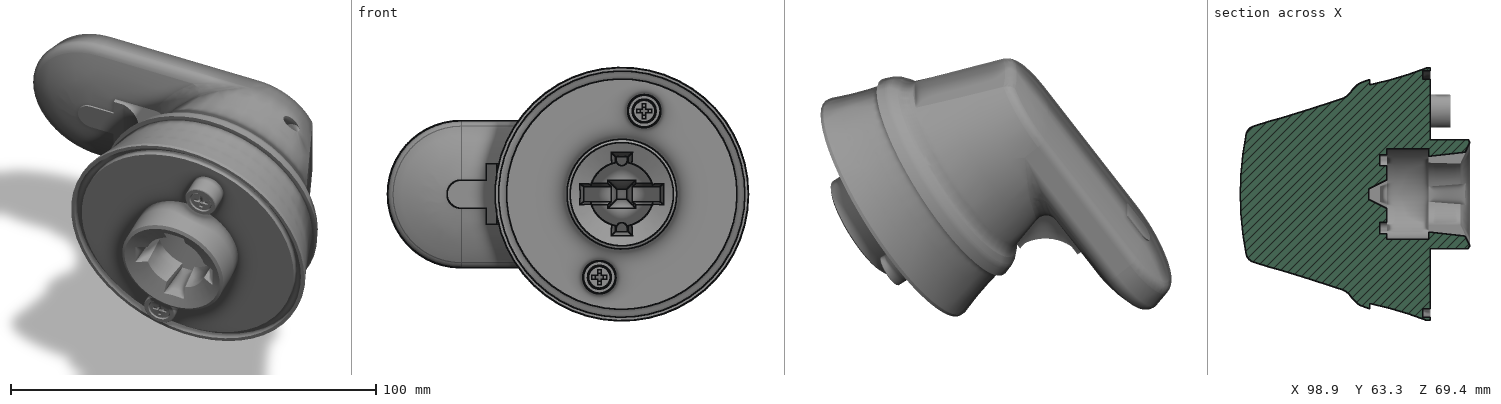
import cadquery as cq


skirt_radius = 34.7
skirt_lip_height = 0.9
skirt_mid_radius = 32.0
skirt_mid_height = 8.7
skirt_top_radius = 30.1
skirt_top_height = 16.5
seal_groove_outer_radius = 33.7
seal_groove_inner_radius = 31.5
seal_groove_depth = 2.0

collar_radius = 31.5
collar_edge_radius = 30.8
collar_edge_height = 18.7
collar_round_middle = (30.5, 19.4)
collar_bevel_radius = 30.0
collar_bevel_height = 20.1
collar_crest_radius = 28.6
collar_crest_height = 21.5
collar_hollow_middle = (26.9, 22.9)

neck_base_height = 24.9
neck_base_radius = 26.0
neck_top_height = 48.4
neck_top_radius = 18.7
flat_base_x = 24.7
flat_top_x = 16.5
neck_draft = (neck_base_radius - neck_top_radius) / (neck_top_height - neck_base_height)

grip_end_x = -44.0
grip_crown_height = 52.1
grip_shoulder_height = 50.1
grip_shoulder_half = neck_top_radius - neck_draft * (grip_shoulder_height - neck_top_height)
grip_crown_sag = grip_crown_height - grip_shoulder_height
grip_shoulder_fillet = 3.2
shoulder_margin = 0.6
grip_widest_height = 44.3
grip_widest_half = neck_top_radius + neck_draft * (neck_top_height - grip_widest_height)
grip_side_bulge = (20.1, 42.5)
grip_lower_height = 40.7
grip_lower_half = 18.7
grip_belly_height = 35.8
grip_belly_sag = grip_lower_height - grip_belly_height
junction_fillet = 3.5

slider_radius = 3.9
slider_bottom = 35.6
slider_top = 52.4

web_half_width = 8.3
web_outer_x = -37.2
web_arc_start_x = -34.2
web_waist = (-26.1, 25.7)
web_foot = (-26.7, 23.7)
web_arc_middle = (-28.8, 31.9)

side_hole_x = 14.1
side_hole_height = 39.3
side_hole_radius = 2.2
side_hole_floor_z = 13.8

boss_radius = 15.0
boss_length = 10.9
boss_rim_radius = 14.1
boss_rim_height = 0.5
bore_radius = 8.8
bore_cone_depth = 2.7
cavity_radius = 12.4
cavity_start = 0.5
cavity_floor = 11.9
slot_half_length = 11.6
slot_half_width = 3.0
slot_floor_half_length = 10.5
slot_floor_half_width = 2.1
slot_depth = 2.0
square_half = 3.9
square_floor_half = 1.4
square_depth = 4.9
notch_half_width = 3.1
notch_outer_z = 11.6
notch_floor_half_width = 1.8
notch_floor_outer_z = 10.3
pin_radius = 1.5
pin_z = 9.3

post_x = 6.1
post_z = 22.7
post_radius = 4.5
post_length = 5.5
post_chamfer = 0.2
screw_bore_radius = 3.3
screw_head_radius = 3.0
screw_head_gap_depth = 1.0
screw_head_recess = 0.3
cross_half_width = 0.5
cross_wide_half = 2.1
cross_wide_depth = 0.8
cross_deep_half = 1.1
cross_deep_depth = 1.6


def cylinder(radius, y_start, y_end, x=0, z=0):
    """Cylinder parallel to the Y axis."""
    axis_start = cq.Vector(x, y_start, z)
    return cq.Workplane(cq.Solid.makeCylinder(radius, y_end - y_start, axis_start, cq.Vector(0, 1, 0)))


def block(x_min, x_max, y_min, y_max, z_min, z_max):
    size = cq.Vector(x_max - x_min, y_max - y_min, z_max - z_min)
    return cq.Workplane(cq.Solid.makeBox(*size.toTuple(), cq.Vector(x_min, y_min, z_min)))


def tapered_block(y_start, start_half_x, start_z, y_end, end_half_x, end_z):
    """Block along Y, symmetric in X, whose Z range changes from start_z to end_z."""
    wires = []
    for y, half_x, (z_min, z_max) in ((y_start, start_half_x, start_z), (y_end, end_half_x, end_z)):
        corners = [(-half_x, y, z_min), (half_x, y, z_min), (half_x, y, z_max), (-half_x, y, z_max)]
        wires.append(cq.Wire.makePolygon([cq.Vector(*c) for c in corners], close=True))
    return cq.Workplane(cq.Solid.makeLoft(wires, True))


def revolved(profile):
    return profile.close().revolve(360, (0, 0, 0), (0, 1, 0))


def skirt():
    profile = (
        cq.Workplane("XY")
        .lineTo(skirt_radius, 0)
        .lineTo(skirt_radius, skirt_lip_height)
        .threePointArc((skirt_mid_radius, skirt_mid_height), (skirt_top_radius, skirt_top_height))
        .lineTo(0, skirt_top_height)
    )
    groove = (
        cq.Workplane("XY")
        .moveTo(seal_groove_inner_radius, 0)
        .lineTo(seal_groove_outer_radius, 0)
        .lineTo(seal_groove_outer_radius, seal_groove_depth)
        .lineTo(seal_groove_inner_radius, seal_groove_depth)
    )
    return revolved(profile).cut(revolved(groove))


def collar():
    profile = (
        cq.Workplane("XY")
        .moveTo(0, skirt_top_height)
        .lineTo(collar_radius, skirt_top_height)
        .lineTo(collar_edge_radius, collar_edge_height)
        .threePointArc(collar_round_middle, (collar_bevel_radius, collar_bevel_height))
        .lineTo(collar_crest_radius, collar_crest_height)
        .threePointArc(collar_hollow_middle, (neck_base_radius, neck_base_height))
        .lineTo(0, neck_base_height)
    )
    return revolved(profile)


def crown(profile):
    """Continue a half profile up the drafted side to the shoulder and over the crown."""
    crown_middle = (grip_shoulder_half / 2, grip_crown_height - grip_crown_sag / 4)
    return (
        profile.lineTo(grip_shoulder_half, grip_shoulder_height)
        .threePointArc(crown_middle, (0, grip_crown_height))
    )


def grip_half_profile():
    """Half section of the grip: distance from its middle plane against height."""
    belly_middle = (grip_lower_half / 2, grip_belly_height + grip_belly_sag / 4)
    profile = (
        cq.Workplane("XY")
        .moveTo(0, grip_belly_height)
        .threePointArc(belly_middle, (grip_lower_half, grip_lower_height))
        .threePointArc(grip_side_bulge, (grip_widest_half, grip_widest_height))
    )
    return crown(profile)


def grip():
    half_bar = grip_half_profile().close().extrude(-grip_end_x)
    half_bar = half_bar.rotate((0, 0, 0), (0, 1, 0), -90)
    bar = half_bar.union(half_bar.mirror("XY"))
    round_end = revolved(grip_half_profile()).translate((grip_end_x, 0, 0))
    return bar.union(round_end)


def neck():
    profile = cq.Workplane("XY").moveTo(0, neck_base_height).lineTo(neck_base_radius, neck_base_height)
    return revolved(crown(profile))


def neck_flat():
    """Wedge outside the sloping flat."""
    slope = (flat_base_x - flat_top_x) / (neck_top_height - neck_base_height)
    wedge_top_x = flat_top_x - slope * (grip_crown_height - neck_top_height)
    profile = (
        cq.Workplane("XY")
        .moveTo(flat_base_x, neck_base_height)
        .lineTo(wedge_top_x, grip_crown_height)
        .lineTo(neck_base_radius, grip_crown_height)
        .lineTo(neck_base_radius, neck_base_height)
        .close()
    )
    return profile.extrude(neck_base_radius, both=True)


def knob():
    """Neck and grip joined, with a fillet in the corner under the grip and a rounded shoulder."""
    body = neck().union(grip())
    corner_box = cq.selectors.BoxSelector(
        (-neck_base_radius, grip_belly_height, -neck_base_radius),
        (0, grip_widest_height, neck_base_radius),
    )
    body = body.edges("%BSPLINE").edges(corner_box).fillet(junction_fillet)
    body = body.cut(neck_flat())
    shoulder_box = cq.selectors.BoxSelector(
        (grip_end_x - grip_widest_half, grip_shoulder_height - shoulder_margin, -neck_base_radius),
        (neck_base_radius, grip_shoulder_height + shoulder_margin, neck_base_radius),
    )
    return body.edges(shoulder_box).fillet(grip_shoulder_fillet)


def slider():
    square_part = block(grip_end_x, web_outer_x, slider_bottom, slider_top, -slider_radius, slider_radius)
    return square_part.union(cylinder(slider_radius, slider_bottom, slider_top, grip_end_x))


def web():
    profile = (
        cq.Workplane("XY")
        .moveTo(0, grip_widest_height)
        .lineTo(web_outer_x, grip_widest_height)
        .lineTo(web_outer_x, slider_bottom)
        .lineTo(web_arc_start_x, slider_bottom)
        .threePointArc(web_arc_middle, web_waist)
        .lineTo(*web_foot)
        .lineTo(0, web_foot[1])
        .close()
    )
    return profile.extrude(web_half_width, both=True)


def side_hole():
    hole_length = neck_base_radius - side_hole_floor_z
    hole = cq.Workplane("XY", origin=(side_hole_x, side_hole_height, side_hole_floor_z))
    return hole.circle(side_hole_radius).extrude(hole_length)


def boss():
    profile = (
        cq.Workplane("XY")
        .lineTo(boss_radius, 0)
        .lineTo(boss_radius, boss_rim_height - boss_length)
        .lineTo(boss_rim_radius, -boss_length)
        .lineTo(0, -boss_length)
    )
    return revolved(profile)


def socket():
    """Everything removed through the boss: stepped bore, slot, square and two key notches."""
    bore_profile = (
        cq.Workplane("XY")
        .moveTo(0, -boss_length)
        .lineTo(boss_rim_radius, -boss_length)
        .lineTo(bore_radius, bore_cone_depth - boss_length)
        .lineTo(bore_radius, cavity_start)
        .lineTo(cavity_radius, cavity_start)
        .lineTo(cavity_radius, cavity_floor)
        .lineTo(0, cavity_floor)
    )
    space = revolved(bore_profile)
    slot_z = (-slot_half_width, slot_half_width)
    slot_floor_z = (-slot_floor_half_width, slot_floor_half_width)
    slot_bottom = cavity_floor + slot_depth
    space = space.union(tapered_block(
        -boss_length, slot_half_length, slot_z, cavity_start, slot_floor_half_length, slot_floor_z))
    space = space.union(tapered_block(
        cavity_floor, slot_half_length, slot_z, slot_bottom, slot_floor_half_length, slot_floor_z))
    space = space.union(tapered_block(
        cavity_floor, square_half, (-square_half, square_half),
        cavity_floor + square_depth, square_floor_half, (-square_floor_half, square_floor_half)))
    notch = tapered_block(
        -boss_length, notch_half_width, (0, notch_outer_z),
        cavity_start, notch_floor_half_width, (0, notch_floor_outer_z))
    pin_hole = cylinder(pin_radius, cavity_floor, slot_bottom, 0, pin_z)
    pin_side = block(-pin_radius, pin_radius, cavity_floor, slot_bottom, pin_z, notch_floor_outer_z)
    key = notch.union(pin_hole).union(pin_side)
    return space.union(key).union(key.mirror("XY"))


def cross(half_length, depth):
    """Two crossed grooves sunk into the free end of a screw post on the Y axis."""
    floor = depth - post_length
    bar = block(-half_length, half_length, -post_length, floor, -cross_half_width, cross_half_width)
    return bar.union(bar.rotate((0, 0, 0), (0, 1, 0), 90))


def screw_post():
    """Tubular post holding the sunk head of a cross-slotted screw, on the Y axis."""
    end = -post_length
    post = cylinder(post_radius, end, 0).faces("<Y").chamfer(post_chamfer)
    gap = cylinder(screw_bore_radius, end, end + screw_head_gap_depth)
    head = cylinder(screw_head_radius, end + screw_head_recess, end + screw_head_gap_depth)
    head_cross = cross(cross_wide_half, cross_wide_depth).union(cross(cross_deep_half, cross_deep_depth))
    return post.cut(gap).union(head).cut(head_cross)


result = skirt().union(collar()).union(knob()).union(slider()).union(web()).union(boss())
result = result.cut(side_hole()).cut(socket())
for side in (1, -1):
    result = result.union(screw_post().translate((side * post_x, 0, side * post_z)))